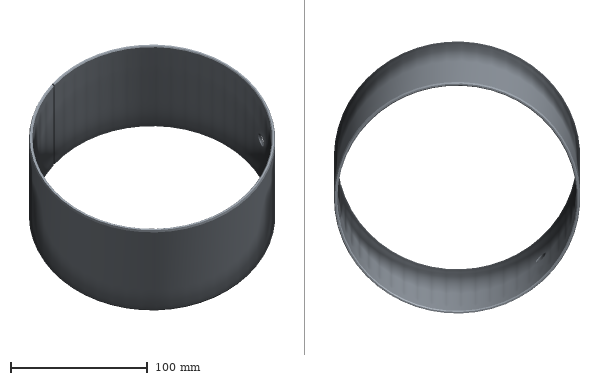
import cadquery as cq
import math

outer_diameter = 180.0
height = 90.0
wall = 2.5
sweep_angle = 359.0

outer_chamfer_width = 0.65
outer_chamfer_height = 1.8
inner_chamfer = 0.7

hole_diameter = 10.0
hole_angle = 59.0

outer_radius = outer_diameter / 2
inner_radius = outer_radius - wall


def make_split_ring():
    """Wall section with chamfered rims, swept counterclockwise from -X."""
    outer_rim = outer_radius - outer_chamfer_width
    inner_rim = inner_radius + inner_chamfer
    section = (
        cq.Workplane("XZ")
        .moveTo(-outer_rim, 0)
        .lineTo(-inner_rim, 0)
        .lineTo(-inner_radius, inner_chamfer)
        .lineTo(-inner_radius, height - inner_chamfer)
        .lineTo(-inner_rim, height)
        .lineTo(-outer_rim, height)
        .lineTo(-outer_radius, height - outer_chamfer_height)
        .lineTo(-outer_radius, outer_chamfer_height)
        .close()
    )
    return section.revolve(sweep_angle, (0, 0, 0), (0, 1, 0))


def make_hole():
    """Radial cylinder from the axis out through one side of the wall."""
    angle = math.radians(hole_angle)
    direction = cq.Vector(math.cos(angle), math.sin(angle), 0)
    start = cq.Vector(0, 0, height / 2)
    return cq.Solid.makeCylinder(hole_diameter / 2, outer_diameter, start, direction)


result = make_split_ring().cut(cq.Workplane(make_hole()))